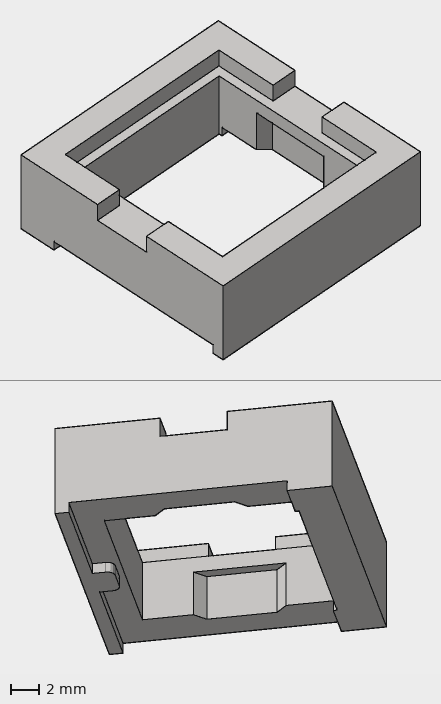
import cadquery as cq

side = 20.0
height = 7.0
opening = 14.05

seat_width = 15.55
seat_depth = 1.5
passage_width = 4.85
seat_level = height - seat_depth

relief_depth = 0.8
left_foot_width = 3.25
right_foot_width = 1.0

stop_start_x = 7.45
stop_length = 2.65
stop_radius = 0.58

recess_mouth = 6.68
recess_depth = 0.8
recess_top = 4.3


def centred_block(size_x, size_y, bottom, top):
    block = cq.Workplane("XY").workplane(offset=bottom).rect(size_x, size_y)
    return block.extrude(top - bottom)


def underside_relief():
    start_x = -side / 2 + left_foot_width
    end_x = side / 2 - right_foot_width
    relief = cq.Workplane("XY").box(
        end_x - start_x, side, relief_depth, centered=(False, True, False)
    ).translate((start_x, 0, 0))
    stop = (
        cq.Workplane("XY")
        .box(end_x - stop_start_x, stop_length, relief_depth, centered=(False, True, False))
        .edges("|Z and <X")
        .fillet(stop_radius)
        .translate((stop_start_x, 0, 0))
    )
    return relief.cut(stop)


def wall_recess(direction):
    mouth_y = direction * opening / 2
    floor_y = direction * (opening / 2 + recess_depth)
    half_mouth = recess_mouth / 2
    half_floor = half_mouth - recess_depth
    outline = [
        (-half_mouth, mouth_y),
        (half_mouth, mouth_y),
        (half_floor, floor_y),
        (-half_floor, floor_y),
    ]
    return cq.Workplane("XY").polyline(outline).close().extrude(recess_top)


result = centred_block(side, side, 0, height)
result = result.cut(centred_block(opening, opening, 0, height))
result = result.cut(centred_block(seat_width, seat_width, seat_level, height))
result = result.cut(centred_block(passage_width, side, seat_level, height))
result = result.cut(underside_relief())
for direction in (-1, 1):
    result = result.cut(wall_recess(direction))